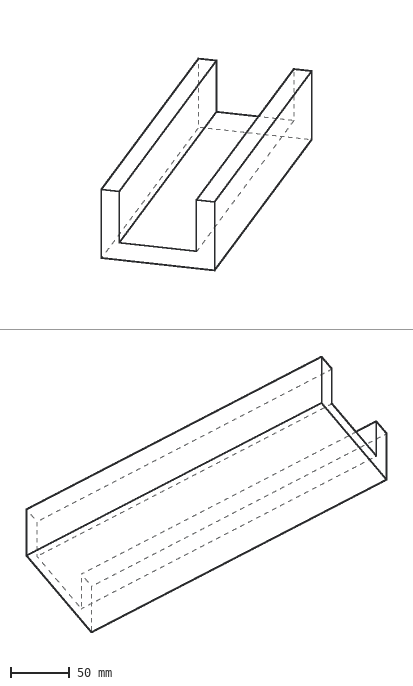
import cadquery as cq

width = 100.0
length = 300.0
height = 63.0

thickness = 16.0

channel_width = width - 2 * thickness
channel_depth = height - thickness

bar = cq.Workplane("XY").box(width, length, height, centered=(True, True, False))

channel = (
    cq.Workplane("XY")
    .workplane(offset=thickness)
    .box(channel_width, length, channel_depth, centered=(True, True, False))
)

result = bar.cut(channel)